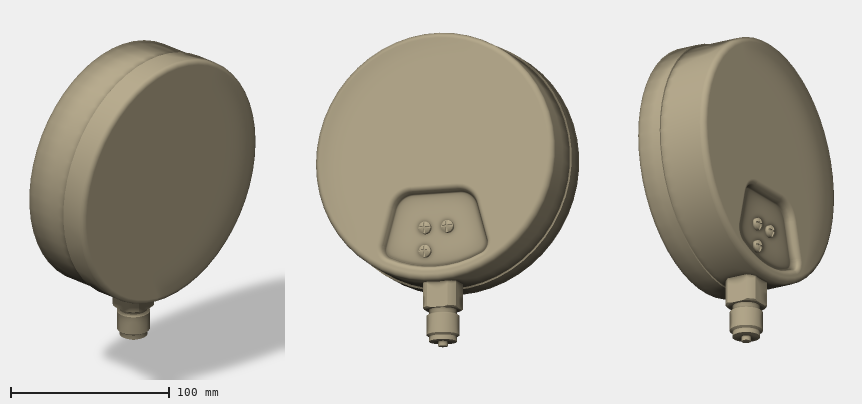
import cadquery as cq
import math

case_diameter = 159.0
case_rear_fillet = 3.5
bezel_diameter = 161.3
bezel_start = 32.3
bezel_front_fillet = 3.0
total_depth = 49.5
total_height = 199.6

stem_x = 17.8
square_width = 22.2
square_corner_diameter = 26.2
square_end_diameter = 23.5
square_chamfer_height = 0.8
square_bottom = -95.6
neck_diameter = 17.5
collar_diameter = 21.0
collar_top = -98.5
collar_bottom = -113.0
collar_chamfer_height = 1.2
neck_bottom = -116.0
pin_diameter = 6.0
pin_bottom = bezel_diameter / 2 - total_height

recess_depth = 6.0
recess_wall_slope = 20
rim_fillet = 3.2
floor_fillet = 0.8
recess_top = -21.0
recess_top_half_width = 26.2
recess_side_angle = 15.5
recess_arc_radius = 71.7
recess_top_corner_radius = 14.2
recess_bottom_corner_radius = 8.2

screw_diameter = 7.8
screw_side_height = 2.4
screw_dome_height = 1.5
screw_spacing = 15.0
screw_top_row = -45.0
slot_width = 1.2
slot_depth = 1.5

overlap = 2.0


def disc(diameter, start, end):
    """Solid disc on the X axis between two X positions."""
    return cq.Workplane("YZ", origin=(start, 0, 0)).circle(diameter / 2).extrude(end - start)


def make_case():
    case = disc(case_diameter, 0, total_depth - overlap).faces("<X").edges().fillet(case_rear_fillet)
    bezel = disc(bezel_diameter, bezel_start, total_depth).faces(">X").edges().fillet(bezel_front_fillet)
    return case.union(bezel)


def turned(profile):
    """Solid of revolution about the stem axis from (radius, Z) points."""
    plane = cq.Workplane("XZ", origin=(stem_x, 0, 0))
    return plane.polyline(profile).close().revolve(360, (0, 0), (0, 1))


def make_stem():
    stem_top = -case_diameter / 2 + 2 * overlap
    square = (
        cq.Workplane("XY", origin=(stem_x, 0, square_bottom))
        .rect(square_width, square_width)
        .extrude(stem_top - square_bottom)
    )
    corner_radius = square_corner_diameter / 2
    square_limit = turned([
        (0, stem_top),
        (corner_radius, stem_top),
        (corner_radius, square_bottom + square_chamfer_height),
        (square_end_diameter / 2, square_bottom),
        (0, square_bottom),
    ])
    neck_radius = neck_diameter / 2
    collar_radius = collar_diameter / 2
    pin_radius = pin_diameter / 2
    connector = turned([
        (0, square_bottom + overlap),
        (neck_radius, square_bottom + overlap),
        (neck_radius, collar_top),
        (collar_radius, collar_top - collar_chamfer_height),
        (collar_radius, collar_bottom + collar_chamfer_height),
        (neck_radius, collar_bottom),
        (neck_radius, neck_bottom),
        (pin_radius, neck_bottom),
        (pin_radius, pin_bottom),
        (0, pin_bottom),
    ])
    return square.intersect(square_limit).union(connector)


def make_recess():
    """Cutter for the recess: flat top, flared sides and a bottom arc concentric with the case."""
    flare = math.tan(math.radians(recess_side_angle))
    drop = recess_arc_radius
    wedge = (
        cq.Workplane("YZ")
        .polyline([
            (-recess_top_half_width, recess_top),
            (recess_top_half_width, recess_top),
            (recess_top_half_width + drop * flare, recess_top - drop),
            (-recess_top_half_width - drop * flare, recess_top - drop),
        ])
        .close()
        .extrude(recess_depth)
    )
    recess = wedge.intersect(disc(2 * recess_arc_radius, 0, recess_depth))
    recess = recess.edges("|X and >Z").fillet(recess_top_corner_radius)
    recess = recess.edges("|X and (>Y or <Y)").fillet(recess_bottom_corner_radius)
    outline = recess.faces("<X").wires().val()
    tapered = cq.Workplane("YZ").add(outline).toPending().extrude(recess_depth, taper=recess_wall_slope)
    return tapered.faces(">X").edges().fillet(floor_fillet)


def make_screw(y, z):
    """Domed screw head with a cross slot."""
    radius = screw_diameter / 2
    dome_radius = (radius**2 + screw_dome_height**2) / (2 * screw_dome_height)
    crown = recess_depth - screw_side_height - screw_dome_height
    dome = cq.Workplane("XY").sphere(dome_radius).translate((crown + dome_radius, y, z))
    shank = disc(screw_diameter, crown, recess_depth + overlap).translate((0, y, z))
    slot = cq.Workplane("YZ", origin=(crown, y, z)).rect(slot_width, screw_diameter).extrude(slot_depth)
    cross = slot.union(slot.rotate((0, y, z), (1, y, z), 90))
    return shank.intersect(dome).cut(cross)


result = make_case().cut(make_recess())
shortest_wire = cq.selectors.LengthNthSelector(0)
result = result.faces("<X").wires(shortest_wire).edges().fillet(rim_fillet)
result = result.union(make_stem())

screw_y = screw_spacing / 2
screw_positions = [
    (screw_y, screw_top_row),
    (-screw_y, screw_top_row),
    (screw_y, screw_top_row - screw_spacing),
]
for y, z in screw_positions:
    result = result.union(make_screw(y, z))